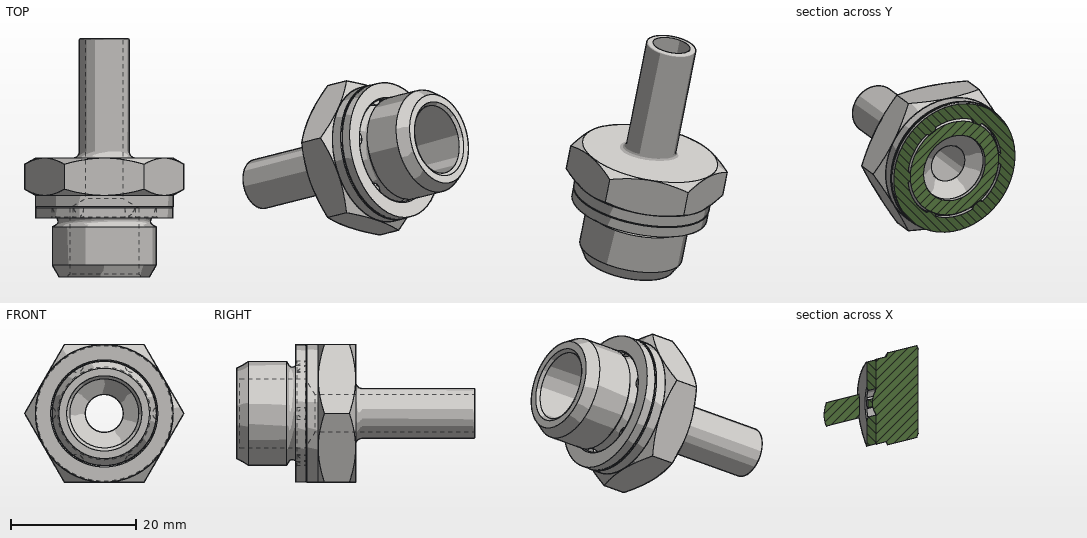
import cadquery as cq
import math

total_length = 38.0
stud_length = 8.0
ring_start = 9.4
collar_start = 11.05
hex_start = 13.0
hex_end = 19.0

stud_radius = 8.3
stud_tip_chamfer = 1.9
stud_tip_angle = math.radians(30)

groove_floor_radius = 7.4
steep_round = 0.56
shallow_round = 0.8
steep_angle = math.radians(60)
shallow_angle = math.radians(24)

across_flats = 22.0
collar_radius = across_flats / 2
collar_chamfer = 0.2
hex_corner_radius = across_flats / math.sqrt(3)
hex_face_radius = 10.95
hex_chamfer_angle = math.radians(30)

stem_radius = 4.0
stem_root_fillet = 1.0
stem_tip_fillet = 0.25

bore_radius = 5.5
bore_mouth_chamfer = 0.5
bore_depth = 11.0
passage_radius = 3.0
drill_half_angle = math.radians(59)

ring_outer_radius = 10.95
ring_mouth_radius = 8.55
ring_mouth_chamfer = 0.2
ring_bore_radius = ring_mouth_radius - ring_mouth_chamfer
nose_count = 6
nose_radius = 1.1
nose_tip_radius = 7.73


def revolve_about_y(profile):
    return profile.close().revolve(360, (0, 0, 0), (0, 1, 0))


def make_turned_blank():
    """Stud, relief groove and collar, up to the start of the hexagon."""
    tip_radius = stud_radius - stud_tip_chamfer * math.tan(stud_tip_angle)

    steep_round_radius = groove_floor_radius + steep_round * (1 - math.cos(steep_angle))
    steep_wall_length = (stud_radius - steep_round_radius) / math.tan(steep_angle)
    steep_wall_end = stud_length + steep_wall_length
    groove_floor = steep_wall_end + steep_round * math.sin(steep_angle)

    shallow_round_radius = groove_floor_radius + shallow_round * (1 - math.cos(shallow_angle))
    shallow_wall_start = groove_floor + shallow_round * math.sin(shallow_angle)
    shallow_wall_length = collar_start - shallow_wall_start
    collar_face_radius = shallow_round_radius + shallow_wall_length * math.tan(shallow_angle)

    return revolve_about_y(
        cq.Workplane("XY")
        .moveTo(0, 0)
        .lineTo(tip_radius, 0)
        .lineTo(stud_radius, stud_tip_chamfer)
        .lineTo(stud_radius, stud_length)
        .lineTo(steep_round_radius, steep_wall_end)
        .radiusArc((groove_floor_radius, groove_floor), steep_round)
        .radiusArc((shallow_round_radius, shallow_wall_start), shallow_round)
        .lineTo(collar_face_radius, collar_start)
        .lineTo(collar_radius - collar_chamfer, collar_start)
        .lineTo(collar_radius, collar_start + collar_chamfer)
        .lineTo(collar_radius, hex_start)
        .lineTo(0, hex_start)
    )


def make_hexagon():
    """Hexagon with two flats facing up and down, its corners coned off at both ends."""
    prism = (
        cq.Workplane("XZ", origin=(0, hex_start, 0))
        .polygon(6, 2 * hex_corner_radius)
        .extrude(hex_start - hex_end)
    )
    corner_drop = (hex_corner_radius - hex_face_radius) * math.tan(hex_chamfer_angle)
    envelope = revolve_about_y(
        cq.Workplane("XY")
        .moveTo(0, hex_start)
        .lineTo(hex_face_radius, hex_start)
        .lineTo(hex_corner_radius, hex_start + corner_drop)
        .lineTo(hex_corner_radius, hex_end - corner_drop)
        .lineTo(hex_face_radius, hex_end)
        .lineTo(0, hex_end)
    )
    return prism.intersect(envelope)


def make_stem():
    """Plain tube stem with a rounded root and a slightly rounded tip."""
    return revolve_about_y(
        cq.Workplane("XY")
        .moveTo(0, hex_end)
        .lineTo(stem_radius + stem_root_fillet, hex_end)
        .radiusArc((stem_radius, hex_end + stem_root_fillet), stem_root_fillet)
        .lineTo(stem_radius, total_length - stem_tip_fillet)
        .radiusArc((stem_radius - stem_tip_fillet, total_length), -stem_tip_fillet)
        .lineTo(0, total_length)
    )


def make_bore():
    """Chamfered stud bore with a drilled cone leading into the narrow through passage."""
    cone_length = (bore_radius - passage_radius) / math.tan(drill_half_angle)
    return revolve_about_y(
        cq.Workplane("XY")
        .moveTo(0, 0)
        .lineTo(bore_radius + bore_mouth_chamfer, 0)
        .lineTo(bore_radius, bore_mouth_chamfer)
        .lineTo(bore_radius, bore_depth)
        .lineTo(passage_radius, bore_depth + cone_length)
        .lineTo(passage_radius, total_length)
        .lineTo(0, total_length)
    )


def make_fitting():
    return make_turned_blank().union(make_hexagon()).union(make_stem()).cut(make_bore())


def make_sealing_ring(fitting):
    """Flat ring against the collar face, with inner noses that reach into the relief groove."""
    nose_start = ring_start + ring_mouth_chamfer
    ring = revolve_about_y(
        cq.Workplane("XY")
        .moveTo(ring_mouth_radius, ring_start)
        .lineTo(ring_outer_radius, ring_start)
        .lineTo(ring_outer_radius, collar_start)
        .lineTo(ring_bore_radius, collar_start)
        .lineTo(ring_bore_radius, nose_start)
    )
    noses = (
        cq.Workplane("XZ", origin=(0, collar_start, 0))
        .polarArray(nose_tip_radius + nose_radius, 0, 360, nose_count)
        .circle(nose_radius)
        .extrude(collar_start - nose_start)
    )
    return ring.union(noses).cut(fitting)


fitting = make_fitting()
sealing_ring = make_sealing_ring(fitting)
result = cq.Compound.makeCompound([fitting.solids().val(), sealing_ring.solids().val()])